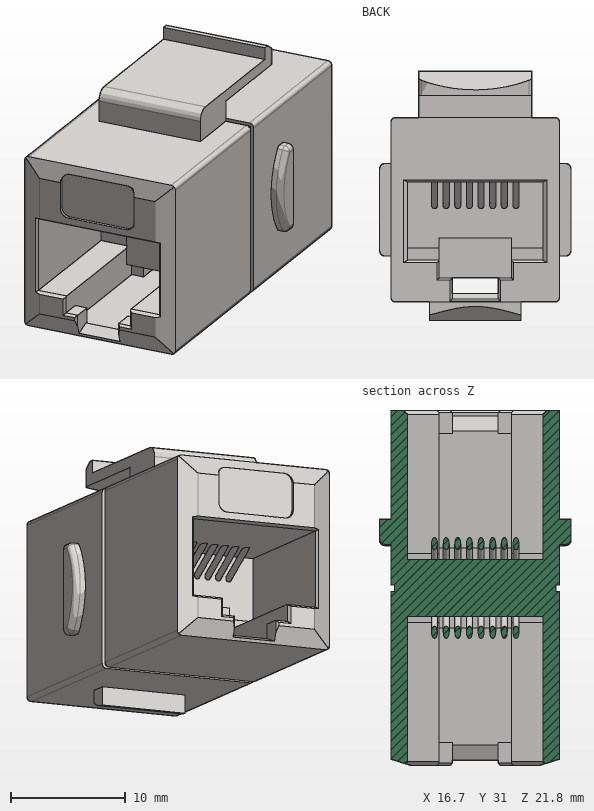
import cadquery as cq
import math


EMBED = 0.35

BODY_WIDTH = 14.73
BODY_LENGTH = 31.0
BODY_HEIGHT = 16.1
EDGE_RADIUS = 0.4
BEVEL_DEPTH = 0.55
BEVEL_INSET_X = 1.73
BEVEL_INSET_Z = 1.6
GROOVE_START = 15.2
GROOVE_WIDTH = 0.55
GROOVE_DEPTH = 0.3

CAVITY_WIDTH = 11.8
CEILING_Z = 10.46
SHOULDER_Z = 3.65
CHANNEL_WIDTH = 6.3
STUB_TOP_Z = 2.1
STUB_LENGTH = 2.0
SLOT_WIDTH = 4.0
SLOT_MOUTH_Z = 0.28
FLOOR_Z = 0.75
RAMP_START = 0.47
RAMP_END = 1.8
JACK_DEPTH = 13.0
FLARE = 0.2
SIDE_FLARE = 0.35

STEP_TOP_Z = 4.7
STEP_LENGTH = 0.5
BLOCK_TOP_Z = 5.6
BLOCK_LENGTH = 1.0

CONTACT_COUNT = 8
CONTACT_PITCH = 1.016
CONTACT_DIAMETER = 0.55
CONTACT_LOW_Z = 8.15
CONTACT_SLOPE = 30.0
CONTACT_EMBED = 1.0

LABEL_WIDTH = 7.2
LABEL_HEIGHT = 4.05
LABEL_CENTRE_Z = 13.3
LABEL_RADIUS = 0.8
LABEL_DEPTH = 0.3

ARM_WIDTH = 9.9
POST_FRONT = 10.2
POST_LENGTH = 5.0
ARM_GAP = 1.92
ARM_THICKNESS = 1.0
ARM_CORNER_RADIUS = 1.0
HOOK_HEIGHT = 4.04
HOOK_FACE = 22.75
HOOK_FLAT = 0.55
HOOK_LENGTH = 2.83
TIP_THICKNESS = 0.5
TIP_PLAN_RADIUS = 10.0
TIP_CORNER_RADIUS = 0.45

LUG_WIDTH = 8.0
LUG_HEIGHT = 1.63
LUG_LENGTH = 2.53
LUG_NOSE_RADIUS = 3.2

EAR_PROTRUSION = 1.0
EAR_HEIGHT = 8.1
EAR_BACK = 21.5
EAR_SIDE_LENGTH = 0.93
EAR_LENGTH = 2.33
EAR_CORNER_RADIUS = 0.5
EAR_FILLET = 0.5


def box(width, y_start, y_end, z_low, z_high):
    """Block centred on X."""
    block = cq.Workplane("XY").box(width, y_end - y_start, z_high - z_low, centered=(True, False, False))
    return block.translate((0, y_start, z_low))


def profile(points, width):
    """Closed (Y, Z) outline extruded symmetrically along X."""
    return cq.Workplane("YZ").polyline(points).close().extrude(width / 2, both=True)


def flared_mouth(width, z_low, z_high, side_flare):
    """Lead-in that widens an opening at the front face, with its sides at 45 degrees."""
    mid_z = (z_low + z_high) / 2
    height = z_high - z_low
    return (
        cq.Workplane("XZ", origin=(0, 0, mid_z))
        .rect(width + 2 * side_flare, height + 2 * FLARE)
        .workplane(offset=-side_flare)
        .rect(width, height)
        .loft()
    )


def make_body():
    mid_z = BODY_HEIGHT / 2
    shell = box(BODY_WIDTH, BEVEL_DEPTH, BODY_LENGTH, 0, BODY_HEIGHT)
    nose = (
        cq.Workplane("XZ", origin=(0, 0, mid_z))
        .rect(BODY_WIDTH - 2 * BEVEL_INSET_X, BODY_HEIGHT - 2 * BEVEL_INSET_Z)
        .workplane(offset=-BEVEL_DEPTH)
        .rect(BODY_WIDTH, BODY_HEIGHT)
        .loft()
    )
    rounded = box(BODY_WIDTH, 0, BODY_LENGTH, 0, BODY_HEIGHT).edges("|Y").fillet(EDGE_RADIUS)
    groove_end = GROOVE_START + GROOVE_WIDTH
    ring = box(BODY_WIDTH, GROOVE_START, groove_end, 0, BODY_HEIGHT)
    core = box(
        BODY_WIDTH - 2 * GROOVE_DEPTH,
        GROOVE_START,
        groove_end,
        GROOVE_DEPTH,
        BODY_HEIGHT - GROOVE_DEPTH,
    )
    return shell.union(nose).intersect(rounded).cut(ring.cut(core))


def make_jack():
    """Void of the front jack, with the partition step and block left standing."""
    cavity = box(CAVITY_WIDTH, 0, JACK_DEPTH, SHOULDER_Z, CEILING_Z)
    cavity = cavity.union(box(CHANNEL_WIDTH, 0, JACK_DEPTH, STUB_TOP_Z, CEILING_Z))
    cavity = cavity.union(box(CHANNEL_WIDTH, STUB_LENGTH, JACK_DEPTH, FLOOR_Z, CEILING_Z))
    slot = [
        (0, SLOT_MOUTH_Z),
        (RAMP_START, SLOT_MOUTH_Z),
        (RAMP_END, FLOOR_Z),
        (JACK_DEPTH, FLOOR_Z),
        (JACK_DEPTH, SHOULDER_Z),
        (0, SHOULDER_Z),
    ]
    cavity = cavity.union(profile(slot, SLOT_WIDTH))
    cavity = cavity.union(flared_mouth(CAVITY_WIDTH, SHOULDER_Z, CEILING_Z, SIDE_FLARE))
    cavity = cavity.union(flared_mouth(CHANNEL_WIDTH, STUB_TOP_Z, CEILING_Z, FLARE))
    cavity = cavity.union(flared_mouth(SLOT_WIDTH, SLOT_MOUTH_Z, CEILING_Z, FLARE))

    step_width = (CAVITY_WIDTH - CHANNEL_WIDTH) / 2
    step_x = (CAVITY_WIDTH + CHANNEL_WIDTH) / 4
    step = box(step_width, JACK_DEPTH - STEP_LENGTH, JACK_DEPTH, SHOULDER_Z, STEP_TOP_Z)
    for side in (-1, 1):
        cavity = cavity.cut(step.translate((side * step_x, 0, 0)))
    return cavity.cut(box(CHANNEL_WIDTH, JACK_DEPTH - BLOCK_LENGTH, JACK_DEPTH, STUB_TOP_Z, BLOCK_TOP_Z))


def make_contacts():
    """Row of wires sloping down from the ceiling into the partition."""
    slope = math.radians(CONTACT_SLOPE)
    radius = CONTACT_DIAMETER / 2
    axis_z = CONTACT_LOW_Z + radius / math.cos(slope)
    run = (CEILING_Z - axis_z) / math.tan(slope) + 2 * CONTACT_EMBED
    rise = run * math.tan(slope)
    start_y = JACK_DEPTH + CONTACT_EMBED
    start_z = axis_z - CONTACT_EMBED * math.tan(slope)
    direction = cq.Vector(0, -run, rise)
    contacts = cq.Workplane("XY")
    for index in range(CONTACT_COUNT):
        x = (index - (CONTACT_COUNT - 1) / 2) * CONTACT_PITCH
        wire = cq.Solid.makeCylinder(radius, direction.Length, cq.Vector(x, start_y, start_z), direction)
        contacts = contacts.add(wire)
    return contacts


def make_label_recess():
    block = box(
        LABEL_WIDTH,
        0,
        LABEL_DEPTH,
        LABEL_CENTRE_Z - LABEL_HEIGHT / 2,
        LABEL_CENTRE_Z + LABEL_HEIGHT / 2,
    )
    return block.edges("|Y").fillet(LABEL_RADIUS)


def make_latch():
    arm_low = BODY_HEIGHT + ARM_GAP
    arm_top = arm_low + ARM_THICKNESS
    hook_top = BODY_HEIGHT + HOOK_HEIGHT
    tip_y = HOOK_FACE + HOOK_LENGTH
    post = box(ARM_WIDTH, POST_FRONT, POST_FRONT + POST_LENGTH, BODY_HEIGHT - EMBED, arm_top)
    arm = box(ARM_WIDTH, POST_FRONT, HOOK_FACE, arm_low, arm_top)
    bracket = post.union(arm).edges("|X and >Z and <Y").fillet(ARM_CORNER_RADIUS)
    hook = [
        (HOOK_FACE, arm_low),
        (tip_y, arm_low),
        (tip_y, arm_low + TIP_THICKNESS),
        (HOOK_FACE + HOOK_FLAT, hook_top),
        (HOOK_FACE, hook_top),
    ]
    half_width = ARM_WIDTH / 2
    side_y = tip_y - TIP_PLAN_RADIUS + math.sqrt(TIP_PLAN_RADIUS**2 - half_width**2)
    plan = (
        cq.Workplane("XY")
        .moveTo(-half_width, HOOK_FACE)
        .lineTo(-half_width, side_y)
        .threePointArc((0, tip_y), (half_width, side_y))
        .lineTo(half_width, HOOK_FACE)
        .close()
        .extrude(hook_top)
        .edges("|Z and (not <Y)")
        .fillet(TIP_CORNER_RADIUS)
    )
    return bracket.union(profile(hook, ARM_WIDTH).intersect(plan))


def make_lug():
    """Catch under the body: flat front face, large-radius nose and a tip rounded in plan."""
    tip_y = HOOK_FACE + LUG_LENGTH
    block = box(LUG_WIDTH, HOOK_FACE, tip_y, -LUG_HEIGHT, EMBED)
    nose = cq.Workplane("YZ").circle(LUG_NOSE_RADIUS).extrude(LUG_WIDTH / 2, both=True)
    nose = nose.translate((0, HOOK_FACE, LUG_NOSE_RADIUS - LUG_HEIGHT))
    tip = cq.Workplane("XY").circle(TIP_PLAN_RADIUS).extrude(BODY_HEIGHT, both=True)
    tip = tip.translate((0, tip_y - TIP_PLAN_RADIUS, 0))
    return block.intersect(nose).intersect(tip)


def make_ears():
    """Bowed finger ears, one on each side."""
    mid_z = BODY_HEIGHT / 2
    side_y = EAR_BACK - EAR_SIDE_LENGTH
    outer_x = BODY_WIDTH / 2 + EAR_PROTRUSION
    ears = (
        cq.Workplane("YZ")
        .moveTo(EAR_BACK, mid_z - EAR_HEIGHT / 2)
        .lineTo(side_y, mid_z - EAR_HEIGHT / 2)
        .threePointArc((EAR_BACK - EAR_LENGTH, mid_z), (side_y, mid_z + EAR_HEIGHT / 2))
        .lineTo(EAR_BACK, mid_z + EAR_HEIGHT / 2)
        .close()
        .extrude(outer_x, both=True)
        .edges("|X and (not >Y)")
        .fillet(EAR_CORNER_RADIUS)
    )
    rim = ears.faces("<X or >X").edges("not(>Y)")
    return rim.fillet(EAR_FILLET)


def make_tab_passage():
    """Front half of the low tunnel that joins the two jacks through the partition."""
    return box(SLOT_WIDTH, JACK_DEPTH - BLOCK_LENGTH, BODY_LENGTH / 2, FLOOR_Z, STUB_TOP_Z)


def at_rear(shape):
    """Mirror image of a front feature at the rear end."""
    return shape.mirror("XZ").translate((0, BODY_LENGTH, 0))


jack_void = make_jack().union(make_tab_passage())
contacts = make_contacts()

result = make_body().union(make_ears()).union(make_latch()).union(make_lug())
result = result.cut(jack_void).cut(at_rear(jack_void))
result = result.cut(make_label_recess())
for wire in contacts.vals() + at_rear(contacts).vals():
    result = result.union(cq.Workplane(wire))